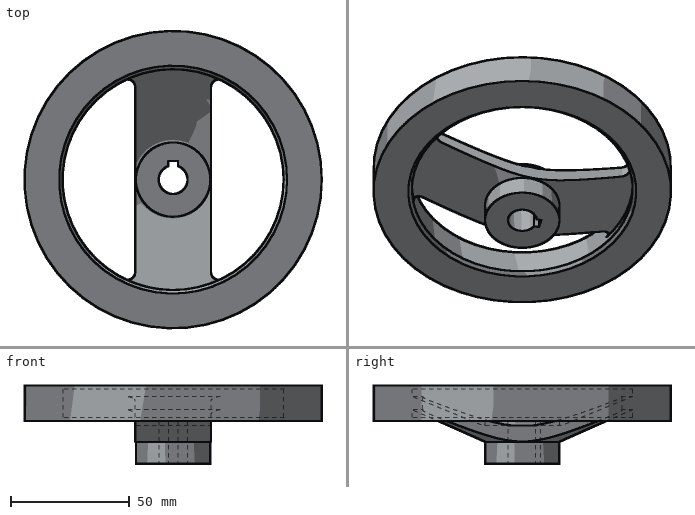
import math

import cadquery as cq

rim_radius = 62.5
rim_height = 15.0
rim_inner_radius = 46.4
rim_chamfer = 1.5

hub_radius = 15.6
hub_top_z = -rim_height
hub_bottom_z = -33.0
hub_height = hub_top_z - hub_bottom_z
hub_fillet_radius = 0.8
bore_diameter = 12.0
keyway_width = 4.0
keyway_reach = 7.8

web_top_z = -17.2
web_bottom_z = -23.8
web_top_slope = 0.41
web_bottom_slope = 0.44
web_overlap = 0.5
spoke_width = 32.0
window_corner_radius = 3.0
corner_search = 0.1


def make_rim():
    """Revolve the rim, chamfered along both inner edges."""
    rim_edge_radius = rim_inner_radius + rim_chamfer
    section = (
        cq.Workplane("XZ")
        .moveTo(rim_inner_radius, -rim_chamfer)
        .lineTo(rim_edge_radius, 0)
        .lineTo(rim_radius, 0)
        .lineTo(rim_radius, -rim_height)
        .lineTo(rim_edge_radius, -rim_height)
        .lineTo(rim_inner_radius, -rim_height + rim_chamfer)
        .close()
    )
    return section.revolve(360, (0, 0, 0), (0, 1, 0))


def make_hub_and_spokes():
    """Revolve the hub with its conical web, then trim the web to two spokes."""
    web_run = rim_inner_radius + web_overlap - hub_radius
    section = (
        cq.Workplane("XZ")
        .moveTo(0, hub_top_z)
        .lineTo(hub_radius, hub_top_z)
        .lineTo(hub_radius, web_top_z)
        .line(web_run, web_run * web_top_slope)
        .lineTo(hub_radius + web_run, web_bottom_z + web_run * web_bottom_slope)
        .lineTo(hub_radius, web_bottom_z)
        .lineTo(hub_radius, hub_bottom_z)
        .lineTo(0, hub_bottom_z)
        .close()
    )
    body = section.revolve(360, (0, 0, 0), (0, 1, 0))
    hub_web_edge = cq.selectors.BoxSelector(
        (-rim_radius, -rim_radius, web_top_z - hub_fillet_radius),
        (rim_radius, rim_radius, web_top_z + hub_fillet_radius),
        boundingbox=True,
    )
    body = body.edges("%CIRCLE").edges(hub_web_edge).fillet(hub_fillet_radius)
    spoke_envelope = cq.Workplane("XY").box(spoke_width, 2 * rim_radius, -2 * hub_bottom_z)
    return body.intersect(spoke_envelope)


def round_window_corners(wheel):
    """Fillet the four upright edges where the spoke flats meet the rim wall."""
    edge_x = spoke_width / 2
    corner_y = math.sqrt(rim_inner_radius**2 - edge_x**2)
    for x in (-edge_x, edge_x):
        for y in (-corner_y, corner_y):
            corner = cq.selectors.BoxSelector(
                (x - corner_search, y - corner_search, -rim_height),
                (x + corner_search, y + corner_search, 0),
            )
            wheel = wheel.edges("|Z").edges(corner).fillet(window_corner_radius)
    return wheel


def make_bore():
    """Build the through bore together with its keyway on the +Y side."""
    bore_plane = cq.Workplane("XY", origin=(0, 0, hub_bottom_z))
    bore = bore_plane.circle(bore_diameter / 2).extrude(hub_height)
    keyway = bore_plane.center(0, keyway_reach / 2).rect(keyway_width, keyway_reach).extrude(hub_height)
    return bore.union(keyway)


wheel = make_rim().union(make_hub_and_spokes())
result = round_window_corners(wheel).cut(make_bore())